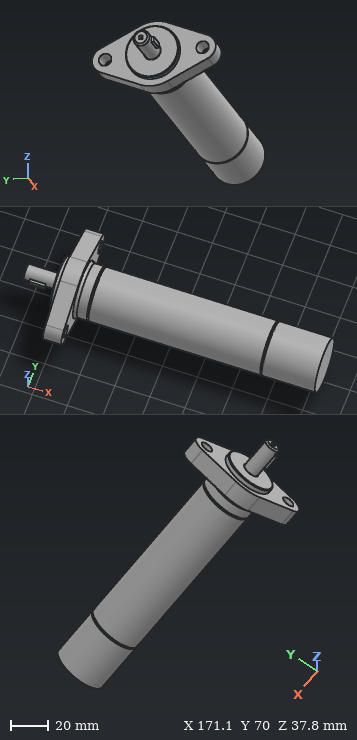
import cadquery as cq
import math

total_length = 171.1

shaft_diameter = 9.0
shaft_chamfer = 1.0
center_hole_diameter = 1.0
center_hole_depth = 2.0
countersink_diameter = 2.4
countersink_angle = 60
shaft_gap_diameter = 9.5
shaft_gap_depth = 1.0

key_start = 4.5
key_length = 9.0
key_width = 2.7
key_top_radius = 6.0

pilot_diameter = 30.0
pilot_start = 19.7
pilot_chamfer = 0.5

flange_start = 22.8
flange_thickness = 10.5
flange_width = 70.0
flange_height = 37.8
ear_radius = 7.5
ear_hole_diameter = 7.0

body_diameter = 31.0
collar_end = 40.9
neck_diameter = 26.9
neck_width = 1.0
rear_cap_start = 140.8
root_cone_length = 2.0
root_cone_rise = 0.9

flange_end = flange_start + flange_thickness
ear_offset = flange_width / 2 - ear_radius
hub_radius = flange_height / 2


def cylinder_along_x(diameter, start, end):
    """Solid cylinder on the motor axis between two X positions."""
    return cq.Workplane("YZ", origin=(start, 0, 0)).circle(diameter / 2).extrude(end - start)


def make_shaft():
    """Output shaft with a chamfered tip and a countersunk center hole."""
    shaft = cylinder_along_x(shaft_diameter, 0, flange_start)
    shaft = shaft.faces("<X").chamfer(shaft_chamfer)
    return shaft.faces("<X").workplane(centerOption="CenterOfBoundBox").cskHole(
        center_hole_diameter, countersink_diameter, countersink_angle, center_hole_depth
    )


def make_key():
    """Rectangular key standing out of the shaft on the -Y side."""
    return cq.Workplane("XY").box(
        key_length, key_top_radius, key_width, centered=(False, False, True)
    ).translate((key_start, -key_top_radius, 0))


def make_flange():
    """Rhombic flange: a hub arc and two ear arcs joined by tangent lines."""
    tangent_angle = math.asin((hub_radius - ear_radius) / ear_offset)
    normal_y = math.sin(tangent_angle)
    normal_z = math.cos(tangent_angle)
    hub_y = hub_radius * normal_y
    hub_z = hub_radius * normal_z
    ear_y = ear_offset + ear_radius * normal_y
    ear_z = ear_radius * normal_z
    outline = (
        cq.Workplane("YZ", origin=(flange_start, 0, 0))
        .moveTo(-hub_y, hub_z)
        .threePointArc((0, hub_radius), (hub_y, hub_z))
        .lineTo(ear_y, ear_z)
        .threePointArc((flange_width / 2, 0), (ear_y, -ear_z))
        .lineTo(hub_y, -hub_z)
        .threePointArc((0, -hub_radius), (-hub_y, -hub_z))
        .lineTo(-ear_y, -ear_z)
        .threePointArc((-flange_width / 2, 0), (-ear_y, ear_z))
        .close()
    )
    ear_holes = (
        cq.Workplane("YZ", origin=(flange_start, 0, 0))
        .pushPoints([(-ear_offset, 0), (ear_offset, 0)])
        .circle(ear_hole_diameter / 2)
        .extrude(flange_thickness)
    )
    return outline.extrude(flange_thickness).cut(ear_holes)


def make_pilot():
    """Locating spigot in front of the flange, chamfered, with a clearance gap around the shaft."""
    pilot = cylinder_along_x(pilot_diameter, pilot_start, flange_start)
    pilot = pilot.faces("<X").chamfer(pilot_chamfer)
    return pilot.cut(cylinder_along_x(shaft_gap_diameter, pilot_start, pilot_start + shaft_gap_depth))


def make_root_cone():
    """Low cone easing the collar into the back of the flange."""
    body_radius = body_diameter / 2
    return (
        cq.Workplane("XY")
        .moveTo(flange_end, 0)
        .lineTo(flange_end, body_radius + root_cone_rise)
        .lineTo(flange_end + root_cone_length, body_radius)
        .lineTo(flange_end + root_cone_length, 0)
        .close()
        .revolve(360, (0, 0, 0), (1, 0, 0))
    )


def make_body():
    """Collar, main barrel and rear cap separated by two narrow necks."""
    body = cylinder_along_x(neck_diameter, flange_end, total_length)
    sections = [
        (flange_end, collar_end),
        (collar_end + neck_width, rear_cap_start - neck_width),
        (rear_cap_start, total_length),
    ]
    for start, end in sections:
        body = body.union(cylinder_along_x(body_diameter, start, end))
    return body


result = (
    make_flange()
    .union(make_pilot())
    .union(make_shaft())
    .union(make_key())
    .union(make_body())
    .union(make_root_cone())
)